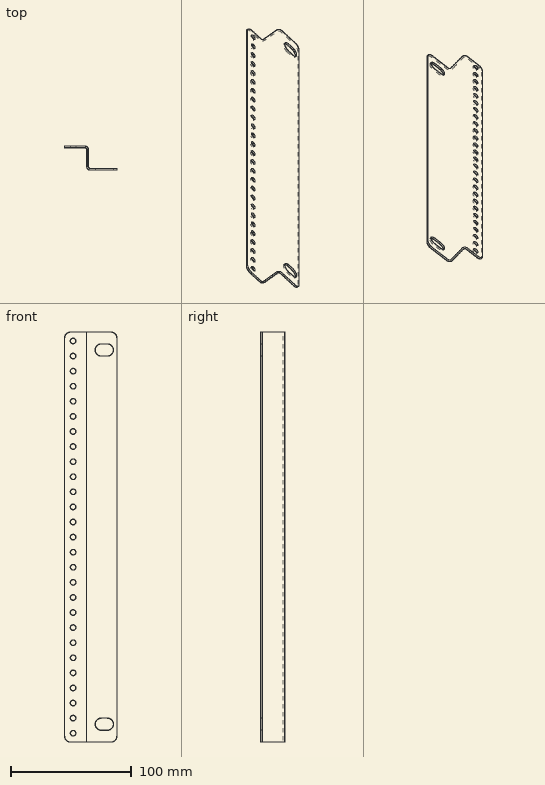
import cadquery as cq

length = 340.0
width = 43.5
depth = 20.0
thickness = 1.5

web_left = 18.5
inner_bend_radius = 1.5
outer_bend_radius = inner_bend_radius + thickness
corner_radius = 5.0

hole_count = 27
hole_diameter = 4.5
hole_edge_distance = 7.0
hole_end_distance = 7.5
hole_pitch = (length - 2 * hole_end_distance) / (hole_count - 1)

slot_length = 15.0
slot_height = 10.0
slot_edge_distance = 10.5
slot_end_distance = 15.0

left = -width / 2
right = width / 2
front = -depth / 2
rear = depth / 2
web_near = left + web_left
web_far = web_near + thickness


def bent_sheet():
    """Constant-thickness Z section, extruded along the rail."""
    outline = [
        (left, rear),
        (web_far, rear),
        (web_far, front + thickness),
        (right, front + thickness),
        (right, front),
        (web_near, front),
        (web_near, rear - thickness),
        (left, rear - thickness),
    ]
    sheet = cq.Workplane("XY").polyline(outline).close().extrude(length)
    sheet = sheet.translate((0, 0, -length / 2))

    def bend_edge(x, y):
        return cq.selectors.NearestToPointSelector((x, y, 0))

    for x, y in ((web_far, rear), (web_near, front)):
        sheet = sheet.edges("|Z").edges(bend_edge(x, y)).fillet(outer_bend_radius)
    for x, y in ((web_near, rear - thickness), (web_far, front + thickness)):
        sheet = sheet.edges("|Z").edges(bend_edge(x, y)).fillet(inner_bend_radius)
    return sheet


def through_cutters(sketch):
    """Extrude a sketch on the XZ plane through the full depth."""
    return sketch.extrude(depth, both=True)


rail = bent_sheet()

rail = rail.edges("|Y").edges("<X or >X").fillet(corner_radius)

hole_centres = [
    (left + hole_edge_distance, -length / 2 + hole_end_distance + i * hole_pitch)
    for i in range(hole_count)
]
holes = through_cutters(cq.Workplane("XZ").pushPoints(hole_centres).circle(hole_diameter / 2))

slot_z = length / 2 - slot_end_distance
slot_centres = [(right - slot_edge_distance, z) for z in (-slot_z, slot_z)]
slots = through_cutters(cq.Workplane("XZ").pushPoints(slot_centres).slot2D(slot_length, slot_height))

result = rail.cut(holes).cut(slots)